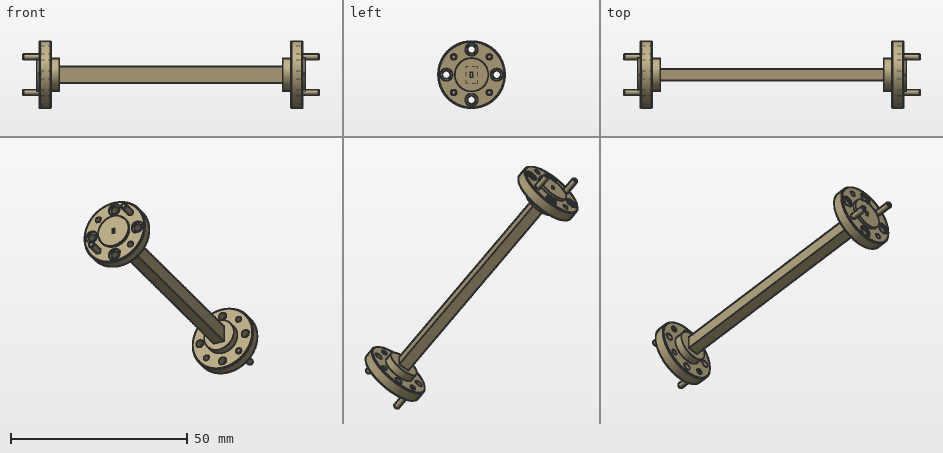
import cadquery as cq
import math

total_length = 83.95
flange_diameter = 19.05
flange_thickness = 3.35
flange_chamfer = 0.25
boss_diameter = 9.5
boss_height = 0.75
hub_diameter = 9.3
hub_length = 2.35
pin_projection = 4.6

bar_width = 3.3
bar_height = 4.8
aperture_width = 0.7
aperture_height = 1.35
aperture_depth = 0.4

bolt_circle_diameter = 14.3
screw_hole_diameter = 2.3
counterbore_diameter = 3.5
counterbore_depth = 0.5
pin_diameter = 1.7
pin_chamfer = 0.21

flange_face = total_length / 2 - pin_projection
flange_back = flange_face - flange_thickness
boss_face = flange_face + boss_height
hub_end = flange_back - hub_length
counterbore_floor = flange_face - counterbore_depth

screw_angles = [0, 90, 180, 270]
dowel_angles = [45, 135, 225, 315]
pin_angles = {-1: [135, 315], 1: [45, 225]}


def bolt_circle_point(angle):
    """Return the (Y, Z) place at an angle measured from +Y toward +Z."""
    radius = bolt_circle_diameter / 2
    radians = math.radians(angle)
    return radius * math.cos(radians), radius * math.sin(radians)


def x_cylinder(side, start, end, diameter, center=(0, 0)):
    """Cylinder along X between two distances from the middle, on one side (-1 or 1)."""
    return (
        cq.Workplane("YZ", origin=(side * start, 0, 0))
        .center(*center)
        .circle(diameter / 2)
        .extrude(side * (end - start))
    )


def make_flange(side):
    """Flange disc with its contact boss, bar hub, screw holes and dowel holes."""
    disc = x_cylinder(side, flange_back, flange_face, flange_diameter)
    flange = disc.faces("<X or >X").chamfer(flange_chamfer)
    flange = flange.union(x_cylinder(side, flange_back, boss_face, boss_diameter))
    flange = flange.union(x_cylinder(side, hub_end, flange_back, hub_diameter))

    for angle in screw_angles:
        center = bolt_circle_point(angle)
        flange = flange.cut(x_cylinder(side, flange_back, flange_face, screw_hole_diameter, center))
        flange = flange.cut(x_cylinder(side, counterbore_floor, flange_face, counterbore_diameter, center))

    for angle in dowel_angles:
        center = bolt_circle_point(angle)
        flange = flange.cut(x_cylinder(side, flange_back, flange_face, pin_diameter, center))
    return flange


def make_aperture(side):
    """Blind rectangular pocket sunk into the boss face of one end."""
    return (
        cq.Workplane("YZ", origin=(side * boss_face, 0, 0))
        .rect(aperture_width, aperture_height)
        .extrude(-side * aperture_depth)
    )


def make_waveguide():
    """Rectangular bar with a flange on each end and an aperture in each boss face."""
    waveguide = cq.Workplane("XY").box(2 * flange_back, bar_width, bar_height)
    for side in (-1, 1):
        waveguide = waveguide.union(make_flange(side))
    for side in (-1, 1):
        waveguide = waveguide.cut(make_aperture(side))
    return waveguide


def make_pin(side, angle):
    """Dowel pin, flush with the flange back and chamfered at both ends."""
    center = bolt_circle_point(angle)
    pin = x_cylinder(side, flange_back, total_length / 2, pin_diameter, center)
    return pin.faces("<X or >X").chamfer(pin_chamfer)


waveguide = make_waveguide()
pins = [make_pin(side, angle).val() for side in pin_angles for angle in pin_angles[side]]

result = cq.Compound.makeCompound([waveguide.val(), *pins])